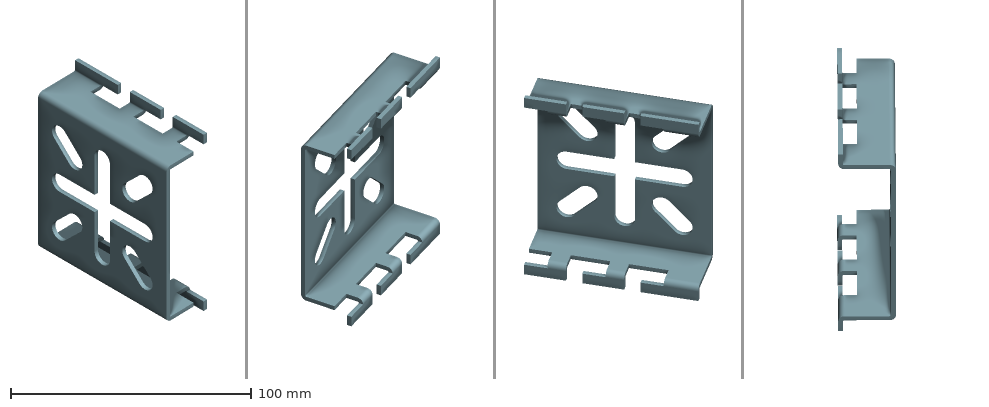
import cadquery as cq
import math

width = 75.0
depth = 24.0
height = 91.0
sheet = 2.0
inner_radius = 0.55
outer_radius = inner_radius + sheet

lip_height = 5.5
hook_pitch = 25.0
hook_gap = 7.0
hook_overhang = 10.0
notch_depth = 8.0
hook_count = 3

slot_width = 8.9
cross_length = 58.6
diagonal_outer = (cross_length - slot_width) / 2
diagonal_inner = 16.1

right_edge = width / 2
flange_top = height / 2 - lip_height
lip_base = flange_top - sheet + outer_radius


def plate(y_start, y_end, z_start, z_end):
    """Full-width flat stretch of sheet."""
    return (
        cq.Workplane("XY")
        .box(width, y_end - y_start, z_end - z_start, centered=(True, False, False))
        .translate((0, y_start, z_start))
    )


def bend(center_y, center_z, toward_y, toward_z):
    """Full-width quarter-round bend filling one quadrant about its centre."""
    ring = (
        cq.Workplane("YZ", origin=(-width / 2, center_y, center_z))
        .circle(outer_radius)
        .circle(inner_radius)
        .extrude(width)
    )
    quadrant = cq.Workplane("XY").box(width, outer_radius, outer_radius).translate(
        (0, center_y + toward_y * outer_radius / 2, center_z + toward_z * outer_radius / 2)
    )
    return ring.intersect(quadrant)


def upper_flange():
    """Flange and lip at the top, with both bends."""
    web_bend_z = flange_top - outer_radius
    lip_bend_y = depth - outer_radius
    return (
        bend(outer_radius, web_bend_z, -1, 1)
        .union(plate(outer_radius, lip_bend_y, flange_top - sheet, flange_top))
        .union(bend(lip_bend_y, lip_base, 1, -1))
        .union(plate(depth - sheet, depth, lip_base, height / 2))
    )


def hook_cutter(x_start, x_end, z_start, z_end):
    """Cutter reaching from the rear face to the bottom of the notches."""
    return (
        cq.Workplane("XY")
        .box(x_end - x_start, notch_depth, z_end - z_start, centered=False)
        .translate((x_start, depth - notch_depth, z_start))
    )


def cut_hooks(flange):
    """Undercut each hook and open the gaps between hooks."""
    cut_base = flange_top - sheet
    for index in range(hook_count):
        lip_end = right_edge - index * hook_pitch
        flange = flange.cut(hook_cutter(lip_end - hook_overhang, lip_end, cut_base, lip_base))
        if index > 0:
            gap_end = lip_end + hook_gap
            flange = flange.cut(hook_cutter(lip_end, gap_end, cut_base, height / 2))
    return flange


def slot(center_x, center_z, length, angle):
    """Round-ended cutter through the web."""
    return (
        cq.Workplane("XZ", origin=(center_x, 0, center_z))
        .slot2D(length, slot_width, angle)
        .extrude(-sheet)
    )


def cut_slots(body):
    """Central cross plus four diagonal slots pointing at the middle."""
    body = body.cut(slot(0, 0, cross_length, 0)).cut(slot(0, 0, cross_length, 90))
    middle = (diagonal_outer + diagonal_inner) / 2
    length = (diagonal_outer - diagonal_inner) * math.sqrt(2) + slot_width
    for side_x in (-1, 1):
        for side_z in (-1, 1):
            angle = 45 * side_x * side_z
            body = body.cut(slot(side_x * middle, side_z * middle, length, angle))
    return body


web_half_height = flange_top - outer_radius
web = plate(0, sheet, -web_half_height, web_half_height)
top = cut_hooks(upper_flange())
bottom = top.mirror("XY")
result = cut_slots(web.union(top).union(bottom))